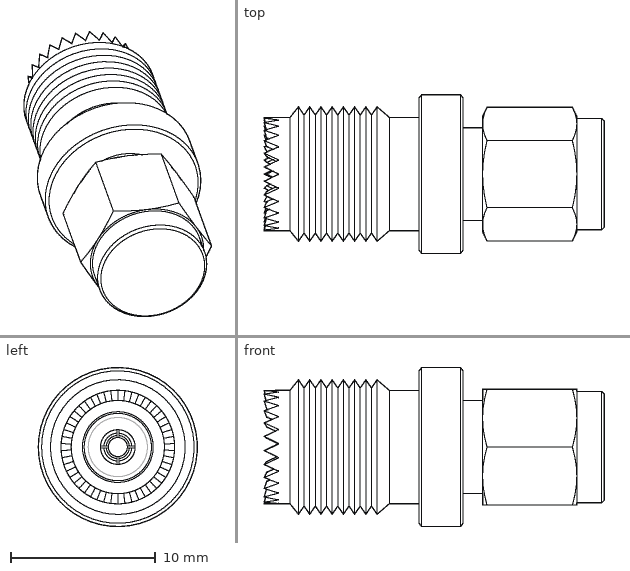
import cadquery as cq
import math

length = 23.5
tooth_depth = 1.0
thread_start = 1.79
first_crest = 2.37
thread_pitch = 0.78
crest_count = 8
thread_end = 8.65
flange_start = 10.7
flange_end = 13.75
hex_start = 15.09
hex_end = 21.6

body_radius = 3.92
crest_radius = 4.65
thread_root_radius = 4.1
flange_radius = 5.5
neck_radius = 3.22
ferrule_radius = 3.85

flange_chamfer_length = 0.19
flange_chamfer_height = 0.24
ferrule_chamfer = 0.19

hex_sides = 6
hex_across_flats = 8.01
hex_chamfer_length = 0.3

tooth_count = 25
mouth_radius = 3.22
mouth_depth = 1.27

insulator_radius = 2.33
insulator_height = 0.3
insulator_fillet = 0.28
insulator_front = mouth_depth - insulator_height
gap_radius = 2.45
gap_depth = 0.24

contact_radius = 1.2
contact_tip_radius = 0.96
contact_chamfer_length = 0.24
contact_mouth_radius = 0.8
contact_throat_radius = 0.65
contact_taper_length = 0.6
contact_bore_depth = 1.4
contact_point_angle = 118.0
finger_count = 4
slot_width = 0.15
slot_depth = contact_taper_length


def revolve_about_x(outline):
    """Full turn of a closed (x, radius) outline about the X axis."""
    return cq.Workplane("XY").polyline(outline).close().revolve(360, (0, 0), (1, 0))


def cylinder(start, end, radius):
    """Cylinder on the X axis between two stations."""
    return cq.Workplane("YZ", origin=(start, 0, 0)).circle(radius).extrude(end - start)


def thread_profile():
    """Crests and roots of the thread as (x, radius) points."""
    points = [(thread_start, body_radius)]
    for crest in range(crest_count):
        crest_x = first_crest + crest * thread_pitch
        points.append((crest_x, crest_radius))
        if crest < crest_count - 1:
            points.append((crest_x + thread_pitch / 2, thread_root_radius))
    points.append((thread_end, body_radius))
    return points


def turned_body():
    """Solid of revolution carrying the thread, flange, neck and ferrule."""
    flange_face_radius = flange_radius - flange_chamfer_height
    outline = [(0, 0), (0, body_radius)]
    outline += thread_profile()
    outline += [
        (flange_start, body_radius),
        (flange_start, flange_face_radius),
        (flange_start + flange_chamfer_length, flange_radius),
        (flange_end - flange_chamfer_length, flange_radius),
        (flange_end, flange_face_radius),
        (flange_end, neck_radius),
        (hex_start, neck_radius),
        (hex_start, ferrule_radius),
        (length - ferrule_chamfer, ferrule_radius),
        (length, ferrule_radius - ferrule_chamfer),
        (length, 0),
    ]
    return revolve_about_x(outline)


def hex_nut():
    """Hexagon with flats facing +Z and -Z and its corners chamfered at both ends."""
    flat_radius = hex_across_flats / 2
    corner_radius = flat_radius / math.cos(math.pi / hex_sides)
    nut = (
        cq.Workplane("YZ", origin=(hex_start, 0, 0))
        .polygon(hex_sides, 2 * corner_radius)
        .extrude(hex_end - hex_start)
    )
    envelope_outline = [
        (hex_start, 0),
        (hex_start, flat_radius),
        (hex_start + hex_chamfer_length, corner_radius),
        (hex_end - hex_chamfer_length, corner_radius),
        (hex_end, flat_radius),
        (hex_end, 0),
    ]
    envelope = revolve_about_x(envelope_outline)
    return nut.intersect(envelope)


def tooth_gaps():
    """Radial V-notches that leave sharp teeth; one notch points to +Z."""
    half_width = body_radius * math.sin(math.pi / tooth_count)
    notch = (
        cq.Workplane("XY")
        .polyline([(0, -half_width), (0, half_width), (tooth_depth, 0)])
        .close()
        .extrude(crest_radius)
    )
    gaps = cq.Workplane("XY")
    for index in range(tooth_count):
        gaps = gaps.add(notch.rotate((0, 0, 0), (1, 0, 0), index * 360 / tooth_count))
    return gaps.combine()


def insulator():
    """Insulator boss with a rounded front edge, rooted at the bottom of the gap."""
    return (
        cylinder(insulator_front, mouth_depth + gap_depth, insulator_radius)
        .faces("<X")
        .edges()
        .fillet(insulator_fillet)
    )


def contact_tip_break():
    """Ring-shaped waste that chamfers the outer edge of the contact tip."""
    outline = [
        (insulator_front, contact_tip_radius),
        (insulator_front, contact_radius),
        (insulator_front + contact_chamfer_length, contact_radius),
    ]
    return revolve_about_x(outline)


def contact_socket():
    """Tapered contact bore ending in a drill point, as a solid to remove."""
    throat_x = insulator_front + contact_taper_length
    bore_end = insulator_front + contact_bore_depth
    point_length = contact_throat_radius / math.tan(math.radians(contact_point_angle / 2))
    outline = [
        (insulator_front, 0),
        (insulator_front, contact_mouth_radius),
        (throat_x, contact_throat_radius),
        (bore_end, contact_throat_radius),
        (bore_end + point_length, 0),
    ]
    return revolve_about_x(outline)


def contact_slots():
    """Crossed slots that split the contact tube into equal fingers."""
    contact_envelope = cylinder(insulator_front, insulator_front + slot_depth, contact_radius)
    blades = cq.Workplane("XY")
    for index in range(finger_count // 2):
        blade = cq.Workplane("YZ", origin=(insulator_front, 0, 0))
        blade = blade.rect(2 * contact_radius, slot_width).extrude(slot_depth)
        blades = blades.add(blade.rotate((0, 0, 0), (1, 0, 0), index * 360 / finger_count))
    return contact_envelope.intersect(blades.combine())


result = (
    turned_body()
    .union(hex_nut())
    .cut(cylinder(0, mouth_depth, mouth_radius))
    .cut(cylinder(mouth_depth, mouth_depth + gap_depth, gap_radius))
    .cut(tooth_gaps())
    .union(insulator())
    .cut(contact_tip_break())
    .cut(contact_socket())
    .cut(contact_slots())
)